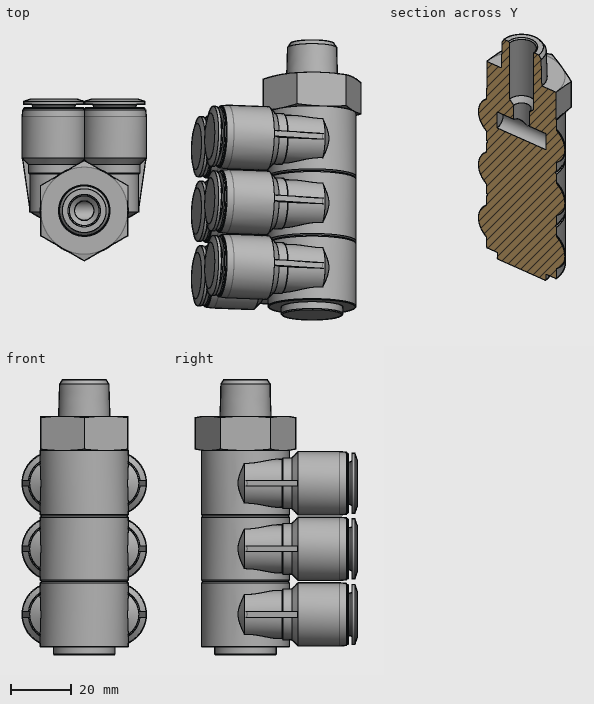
import cadquery as cq
import math

TOTAL_HEIGHT = 90.5
STUB_HEIGHT = 2.6
MODULE_PITCH = 21.5
MODULE_COUNT = 3
HEX_HEIGHT = 11.2
BODY_TOP = STUB_HEIGHT + MODULE_COUNT * MODULE_PITCH
HEX_TOP = BODY_TOP + HEX_HEIGHT

BODY_DIAMETER = 29.0
BODY_BOTTOM_CHAMFER = 0.3
JOINT_GROOVE_DEPTH = 0.45
STUB_DIAMETER = 20.3
STUB_CHAMFER = 0.4

HEX_ACROSS_FLATS = 28.6
HEX_CORNER_RADIUS = HEX_ACROSS_FLATS / math.sqrt(3)
HEX_CORNER_DROP = 0.45
HEX_TURN_ANGLE = 30.0

SPIGOT_TAPER = 1 / 16
SPIGOT_ROOT_DIAMETER = 16.9
SPIGOT_CHAMFER_HEIGHT = 1.45
SPIGOT_TIP_DIAMETER = 14.4

INLET_DIAMETER = 9.8
INLET_CHAMFER = 0.45
INLET_FLOOR = BODY_TOP
PASSAGE_DIAMETER = 6.3

OUTLET_SPACING = 20.0
OUTLET_DIAMETER = 20.9
OUTLET_MOUTH_DIAMETER = 20.45
COLLAR_DIAMETER = 16.7
STEM_DIAMETER = 15.8
LIP_DIAMETER = 19.8
LIP_FACE_DIAMETER = 19.4
NECK_DIAMETER = 14.0
NECK_FLARE_DIAMETER = 14.7
RING_DIAMETER = 19.8
RING_FACE_DIAMETER = 15.2

OVERALL_DEPTH = 53.2
RING_FACE_Y = OVERALL_DEPTH - HEX_CORNER_RADIUS
RING_RIM_Y = 35.9
RING_BACK_Y = 34.9
NECK_FLARE_Y = 34.4
LIP_FACE_Y = 33.85
LIP_RIM_Y = 33.5
MOUTH_Y = 33.1
MOUTH_TAPER_Y = 30.9
OUTLET_BACK_Y = 17.3
COLLAR_FRONT_Y = 15.2
COLLAR_BACK_Y = 12.3
STEM_FRONT_Y = 12.0
STEM_BACK_Y = -0.4
STEM_TIP_ANGLE = 30.0

RIB_THICKNESS = 1.9
RIB_FRONT_REACH = 10.3
RIB_BACK_REACH = 7.8


def revolve_z(points):
    """Turn a (radius, z) outline around the upright axis."""
    return cq.Workplane("XZ").polyline(points).close().revolve(360, (0, 0), (0, 1))


def make_body():
    radius = BODY_DIAMETER / 2
    body = (
        cq.Workplane("XY").workplane(offset=STUB_HEIGHT)
        .circle(radius).extrude(BODY_TOP - STUB_HEIGHT)
    )
    body = body.faces("<Z").chamfer(BODY_BOTTOM_CHAMFER)
    for joint in range(1, MODULE_COUNT):
        body = body.cut(make_joint_groove(STUB_HEIGHT + joint * MODULE_PITCH))
    return body


def make_joint_groove(z):
    """V groove around the body where two modules meet."""
    radius = BODY_DIAMETER / 2
    return revolve_z([
        (radius - JOINT_GROOVE_DEPTH, z),
        (radius + JOINT_GROOVE_DEPTH, z + 2 * JOINT_GROOVE_DEPTH),
        (radius + JOINT_GROOVE_DEPTH, z - 2 * JOINT_GROOVE_DEPTH),
    ])


def make_stub():
    stub = cq.Workplane("XY").circle(STUB_DIAMETER / 2).extrude(STUB_HEIGHT)
    return stub.faces("<Z").chamfer(STUB_CHAMFER)


def make_hexagon():
    hexagon = (
        cq.Workplane("XY").workplane(offset=BODY_TOP)
        .polygon(6, 2 * HEX_CORNER_RADIUS).extrude(HEX_HEIGHT)
        .rotate((0, 0, 0), (0, 0, 1), HEX_TURN_ANGLE)
    )
    flat_radius = HEX_ACROSS_FLATS / 2
    corner_envelope = revolve_z([
        (0, BODY_TOP),
        (flat_radius, BODY_TOP),
        (HEX_CORNER_RADIUS, BODY_TOP + HEX_CORNER_DROP),
        (HEX_CORNER_RADIUS, HEX_TOP - HEX_CORNER_DROP),
        (flat_radius, HEX_TOP),
        (0, HEX_TOP),
    ])
    return hexagon.intersect(corner_envelope)


def make_spigot():
    root_radius = SPIGOT_ROOT_DIAMETER / 2
    shoulder_z = TOTAL_HEIGHT - SPIGOT_CHAMFER_HEIGHT
    shoulder_radius = root_radius - (shoulder_z - HEX_TOP) * SPIGOT_TAPER / 2
    return revolve_z([
        (0, HEX_TOP),
        (root_radius, HEX_TOP),
        (shoulder_radius, shoulder_z),
        (SPIGOT_TIP_DIAMETER / 2, TOTAL_HEIGHT),
        (0, TOTAL_HEIGHT),
    ])


def make_outlet(x, z):
    stem_radius = STEM_DIAMETER / 2
    tip_y = STEM_BACK_Y - stem_radius * math.tan(math.radians(STEM_TIP_ANGLE))
    profile = [
        (0, tip_y),
        (stem_radius, STEM_BACK_Y),
        (stem_radius, STEM_FRONT_Y),
        (COLLAR_DIAMETER / 2, COLLAR_BACK_Y),
        (COLLAR_DIAMETER / 2, COLLAR_FRONT_Y),
        (OUTLET_DIAMETER / 2, OUTLET_BACK_Y),
        (OUTLET_DIAMETER / 2, MOUTH_TAPER_Y),
        (OUTLET_MOUTH_DIAMETER / 2, MOUTH_Y),
        (LIP_DIAMETER / 2, MOUTH_Y),
        (LIP_DIAMETER / 2, LIP_RIM_Y),
        (LIP_FACE_DIAMETER / 2, LIP_FACE_Y),
        (NECK_DIAMETER / 2, LIP_FACE_Y),
        (NECK_DIAMETER / 2, NECK_FLARE_Y),
        (NECK_FLARE_DIAMETER / 2, RING_BACK_Y),
        (RING_DIAMETER / 2, RING_BACK_Y),
        (RING_DIAMETER / 2, RING_RIM_Y),
        (RING_FACE_DIAMETER / 2, RING_FACE_Y),
        (0, RING_FACE_Y),
    ]
    outlet = cq.Workplane("XY").polyline(profile).close().revolve(360, (0, 0), (0, 1))
    return outlet.translate((x, 0, z))


def make_rib(side, z):
    axis_x = OUTLET_SPACING / 2
    outline = [
        (side * axis_x, STEM_BACK_Y),
        (side * (axis_x + RIB_BACK_REACH), STEM_BACK_Y),
        (side * (axis_x + RIB_FRONT_REACH), OUTLET_BACK_Y),
        (side * axis_x, OUTLET_BACK_Y),
    ]
    rib = cq.Workplane("XY").polyline(outline).close().extrude(RIB_THICKNESS / 2, both=True)
    return rib.translate((0, 0, z))


def make_inlet_bore(cross_bore_z):
    inlet_radius = INLET_DIAMETER / 2
    passage_radius = PASSAGE_DIAMETER / 2
    cone_bottom = INLET_FLOOR - (inlet_radius - passage_radius)
    bore = revolve_z([
        (0, cross_bore_z),
        (passage_radius, cross_bore_z),
        (passage_radius, cone_bottom),
        (inlet_radius, INLET_FLOOR),
        (inlet_radius, TOTAL_HEIGHT - INLET_CHAMFER),
        (inlet_radius + INLET_CHAMFER, TOTAL_HEIGHT),
        (0, TOTAL_HEIGHT),
    ])
    cross_bore = (
        cq.Workplane("YZ").center(0, cross_bore_z)
        .circle(passage_radius).extrude(OUTLET_SPACING / 2, both=True)
    )
    return bore.union(cross_bore)


result = make_body().union(make_stub()).union(make_hexagon()).union(make_spigot())
for index in range(MODULE_COUNT):
    outlet_z = STUB_HEIGHT + (index + 0.5) * MODULE_PITCH
    for side in (-1, 1):
        result = result.union(make_outlet(side * OUTLET_SPACING / 2, outlet_z))
        result = result.union(make_rib(side, outlet_z))

top_outlet_z = BODY_TOP - MODULE_PITCH / 2
result = result.cut(make_inlet_bore(top_outlet_z))